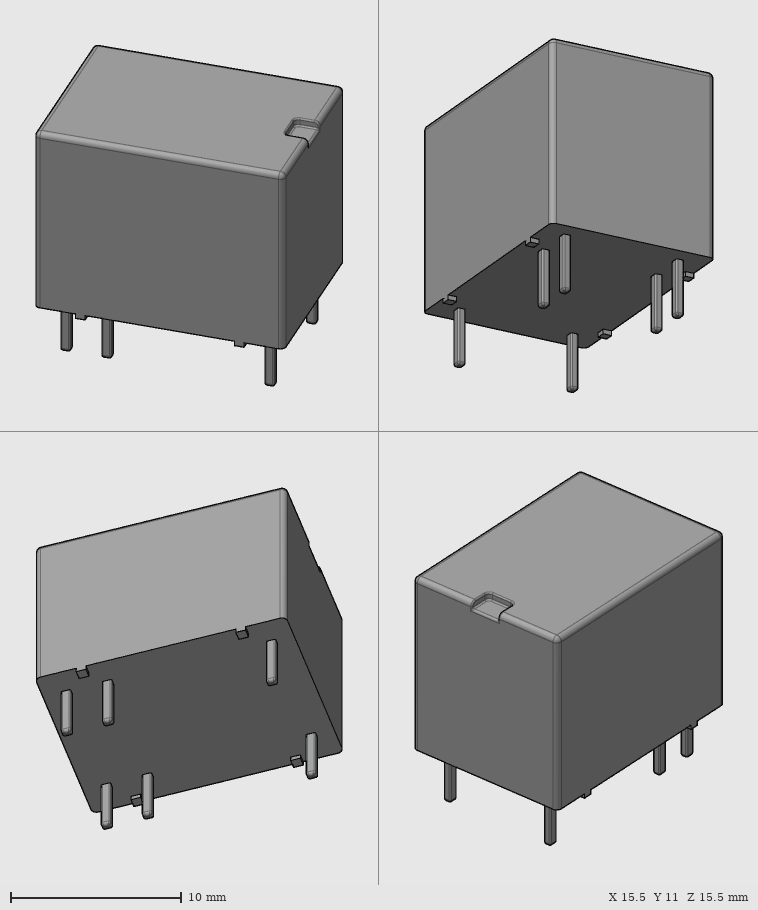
import cadquery as cq

CASE_LENGTH = 15.5
CASE_WIDTH = 11.01
CASE_HEIGHT = 11.9
CASE_EDGE_RADIUS = 0.35

NOTCH_LENGTH = 1.52
NOTCH_WIDTH = 2.0
NOTCH_DEPTH = 0.5
NOTCH_CORNER_RADIUS = 0.3
NOTCH_RIM_RADIUS = 0.1
NOTCH_FLOOR_RADIUS = 0.1
NOTCH_LIP_RADIUS = 0.15

FOOT_LENGTH = 0.6
FOOT_WIDTH = 0.57
FOOT_HEIGHT = 0.3
FOOT_X_POSITIONS = (-4.9, 4.96)

PIN_LENGTH_X = 0.6
PIN_WIDTH_Y = 0.5
PIN_HEIGHT = 3.6
PIN_EDGE_RADIUS = 0.1
PIN_TIP_RADIUS = 0.2
PIN_ROW_SPACING = 7.6
PIN_PITCH_SHORT = 2.54
PIN_PITCH_LONG = 10.12
FIRST_PIN_X = -6.32
PIN_X_POSITIONS = (
    FIRST_PIN_X,
    FIRST_PIN_X + PIN_PITCH_SHORT,
    FIRST_PIN_X + PIN_PITCH_SHORT + PIN_PITCH_LONG,
)

ROW_SIDES = (-1, 1)


def make_case():
    """Box with rounded vertical edges and rounded top edges."""
    case = cq.Workplane("XY").box(CASE_LENGTH, CASE_WIDTH, CASE_HEIGHT, centered=(True, True, False))
    return case.edges("|Z or >Z").fillet(CASE_EDGE_RADIUS)


def cut_notch(case):
    """Cut the open-ended notch, then round its rim, its floor corner and its open lip."""
    floor_z = CASE_HEIGHT - NOTCH_DEPTH
    end_x = CASE_LENGTH / 2
    cutter = (
        cq.Workplane("XY")
        .box(2 * NOTCH_LENGTH, NOTCH_WIDTH, NOTCH_DEPTH, centered=(True, True, False))
        .edges("|Z and <X")
        .fillet(NOTCH_CORNER_RADIUS)
        .translate((end_x, 0, floor_z))
    )
    notched = case.cut(cutter)
    inner_x = end_x - NOTCH_LENGTH
    blends = (
        ((end_x, 0, floor_z), NOTCH_LIP_RADIUS),
        ((inner_x, 0, CASE_HEIGHT), NOTCH_RIM_RADIUS),
        ((inner_x, 0, floor_z), NOTCH_FLOOR_RADIUS),
    )
    for edge_point, radius in blends:
        notched = notched.edges(cq.NearestToPointSelector(edge_point)).fillet(radius)
    return notched


def make_foot(x, side):
    """Small block under the case, its outer face flush with the case side."""
    y = side * (CASE_WIDTH - FOOT_WIDTH) / 2
    foot = cq.Workplane("XY").box(FOOT_LENGTH, FOOT_WIDTH, FOOT_HEIGHT, centered=(True, True, False))
    return foot.translate((x, y, -FOOT_HEIGHT))


def make_pin(x, side):
    """Rectangular pin with rounded long edges and a rounded tip."""
    y = side * PIN_ROW_SPACING / 2
    pin = (
        cq.Workplane("XY")
        .box(PIN_LENGTH_X, PIN_WIDTH_Y, PIN_HEIGHT, centered=(True, True, False))
        .edges("|Z")
        .fillet(PIN_EDGE_RADIUS)
        .faces("<Z")
        .edges()
        .fillet(PIN_TIP_RADIUS)
    )
    return pin.translate((x, y, -PIN_HEIGHT))


result = cut_notch(make_case())
for row_side in ROW_SIDES:
    for foot_x in FOOT_X_POSITIONS:
        result = result.union(make_foot(foot_x, row_side))
    for pin_x in PIN_X_POSITIONS:
        result = result.union(make_pin(pin_x, row_side))